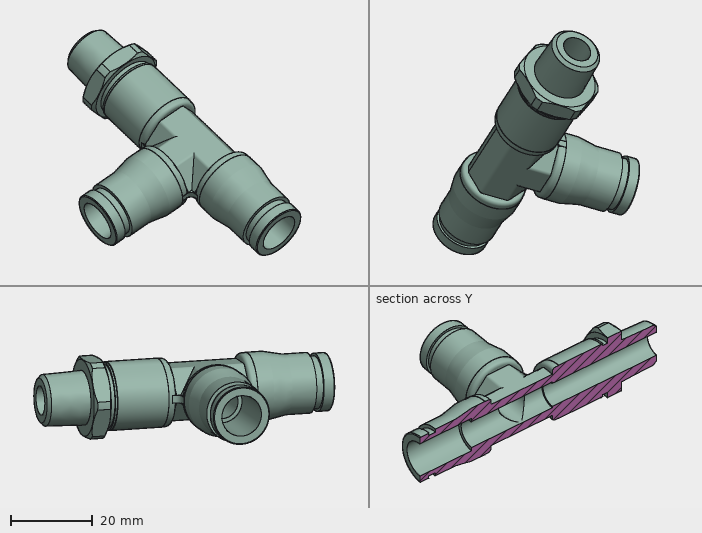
import cadquery as cq
import math

overall_length = 73.2
socket_reach = 31.5
tee_x = overall_length - socket_reach

stud_bore_radius = 3.6
stud_tip_radius = 5.5
stud_chamfer = 0.9
stud_root_radius = 6.7
nut_start = 10.8
nut_end = 15.2
nut_sides = 6
nut_across_flats = 19.0
nut_corner_radius = 10.5
nut_face_radius = 9.45
nut_chamfer_angle = 30.0

neck_radius = 7.9
shell_radius = 8.5
shell_start = 16.6
shell_chamfer_length = 0.6
shell_chamfer_depth = 0.4
shell_end = 30.3
core_radius = 8.4
core_length = 2.0
core_rounding = 1.0
core_end = shell_end + core_length

socket_start = 9.4
taper_start = 6.15
taper_end = 11.2
grip_radius = 7.5
grip_end = 17.35
groove_radius = 6.5
collar_start = 19.3
collar_radius = 7.2
collar_chamfer = 0.2
socket_length = socket_reach - socket_start
tube_bore_radius = 5.05
tube_depth = socket_length - taper_start

flow_radius = 4.0
block_half_height = 6.6
block_edge_radius = 1.0
front_edge_y = 3.45
front_foot_y = 8.35
back_foot_y = 7.1
back_slope_angle = 60.0
web_half_thickness = 0.95
web_start = 31.2
web_corner_radius = 1.5
slope_height = block_half_height - web_half_thickness
back_edge_y = back_foot_y - slope_height / math.tan(math.radians(back_slope_angle))


def turned(outline):
    """Revolve an (x, radius) outline about the X axis."""
    return cq.Workplane("XY").polyline(outline).close().revolve(360, (0, 0, 0), (1, 0, 0))


def rod(radius, start, end):
    return cq.Workplane("YZ").workplane(offset=start).circle(radius).extrude(end - start)


def toward_branch(shape):
    """Turn a shape built along +X from the origin so that it points along the branch."""
    return shape.rotate((0, 0, 0), (0, 0, 1), -90).translate((tee_x, 0, 0))


def toward_run(shape):
    return shape.translate((tee_x, 0, 0))


def make_stud():
    return turned([
        (0, 0),
        (0, stud_tip_radius),
        (stud_chamfer, stud_tip_radius + stud_chamfer),
        (nut_start, stud_root_radius),
        (nut_start, 0),
    ])


def make_nut():
    across_corners = nut_across_flats / math.cos(math.pi / nut_sides)
    hexagon = (
        cq.Workplane("YZ").workplane(offset=nut_start)
        .polygon(nut_sides, across_corners).extrude(nut_end - nut_start)
    )
    chamfer_length = (nut_corner_radius - nut_face_radius) * math.tan(math.radians(nut_chamfer_angle))
    envelope = turned([
        (nut_start, 0),
        (nut_start, nut_face_radius),
        (nut_start + chamfer_length, nut_corner_radius),
        (nut_end - chamfer_length, nut_corner_radius),
        (nut_end, nut_face_radius),
        (nut_end, 0),
    ])
    return hexagon.intersect(envelope)


def make_body():
    neck = rod(neck_radius, nut_end, shell_start)
    shell = turned([
        (shell_start, 0),
        (shell_start, shell_radius - shell_chamfer_depth),
        (shell_start + shell_chamfer_length, shell_radius),
        (shell_end, shell_radius),
        (shell_end, 0),
    ])
    core = rod(core_radius, shell_start, core_end).faces(">X").edges().fillet(core_rounding)
    return neck.union(shell).union(core)


def make_socket():
    """Socket along +X, placed at its distance from the tee centre."""
    profile = [
        (0, 0),
        (0, core_radius),
        (core_length, core_radius),
        (core_length, shell_radius),
        (taper_start, shell_radius),
        (taper_end, grip_radius),
        (grip_end, grip_radius),
        (grip_end, groove_radius),
        (collar_start, groove_radius),
        (collar_start, collar_radius),
        (socket_length - collar_chamfer, collar_radius),
        (socket_length, collar_radius - collar_chamfer),
        (socket_length, 0),
    ]
    return turned(profile).faces("<X").edges().fillet(core_rounding).translate((socket_start, 0, 0))


def block_bar(start, end, left_edge, left_foot):
    """Bar along +X; its -Y side has the front slope, its +Y side runs from left_edge down to left_foot."""
    section = [
        (-front_foot_y, web_half_thickness),
        (-front_edge_y, block_half_height),
        (left_edge, block_half_height),
        (left_foot, web_half_thickness),
        (left_foot, -web_half_thickness),
        (left_edge, -block_half_height),
        (-front_edge_y, -block_half_height),
        (-front_foot_y, -web_half_thickness),
    ]
    bar = cq.Workplane("YZ").workplane(offset=start).polyline(section).close().extrude(end - start)
    return bar.faces("|Z").edges("|X").fillet(block_edge_radius)


def make_web():
    """Plate in the outline of the tee, with concave rounds in its two inner corners."""
    half_length = tee_x - web_start
    branch_end = -(socket_start + core_length)
    round_x = core_radius + web_corner_radius
    round_y = -round_x
    return (
        cq.Workplane("XY").workplane(offset=-web_half_thickness).center(tee_x, 0)
        .moveTo(-half_length, back_foot_y)
        .lineTo(half_length, back_foot_y)
        .lineTo(half_length, -core_radius)
        .lineTo(round_x, -core_radius)
        .radiusArc((core_radius, round_y), -web_corner_radius)
        .lineTo(core_radius, branch_end)
        .lineTo(-core_radius, branch_end)
        .lineTo(-core_radius, round_y)
        .radiusArc((-round_x, -core_radius), -web_corner_radius)
        .lineTo(-half_length, -core_radius)
        .close().extrude(2 * web_half_thickness)
    )


def make_block():
    run_bar = block_bar(core_end, tee_x + socket_start, back_edge_y, back_foot_y)
    branch_bar = toward_branch(block_bar(0, socket_start, front_edge_y, front_foot_y))
    return run_bar.union(branch_bar).union(make_web())


def make_passages():
    stud_bore = rod(stud_bore_radius, 0, core_end)
    run_bore = rod(flow_radius, core_end, overall_length)
    branch_bore = toward_branch(rod(flow_radius, 0, socket_reach))
    tube_bore = rod(tube_bore_radius, socket_reach - tube_depth, socket_reach)
    passages = stud_bore.union(run_bore).union(branch_bore)
    return passages.union(toward_run(tube_bore)).union(toward_branch(tube_bore))


socket = make_socket()
solid_fitting = (
    make_stud()
    .union(make_nut())
    .union(make_body())
    .union(make_block())
    .union(toward_run(socket))
    .union(toward_branch(socket))
)
result = solid_fitting.cut(make_passages())